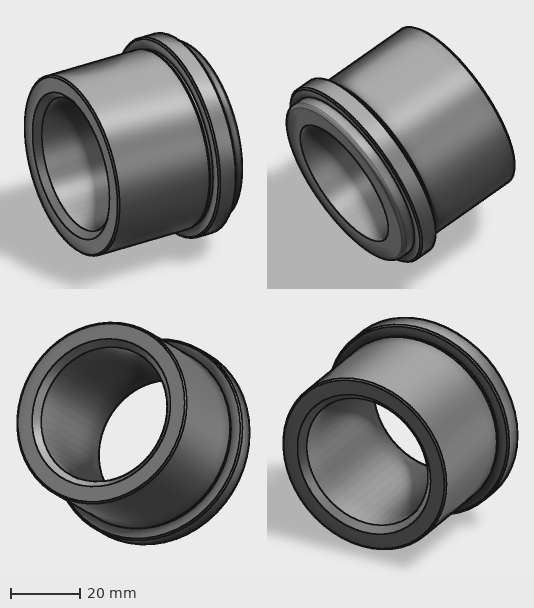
import cadquery as cq

total_length = 42.0
flange_diameter = 60.0
flange_width = 6.0
sleeve_diameter = 54.0
bore_diameter = 40.0
bore_mouth_diameter = 44.0
hub_length = 4.0
edge_chamfer = 0.5
hub_edge_radius = 1.0
groove_width = 1.5
groove_depth = 0.4
groove_taper = 0.6

flange_radius = flange_diameter / 2
sleeve_radius = sleeve_diameter / 2
bore_radius = bore_diameter / 2
bore_mouth_radius = bore_mouth_diameter / 2
mouth_depth = bore_mouth_radius - bore_radius
flange_back = total_length - hub_length
flange_front = flange_back - flange_width
groove_radius = sleeve_radius - groove_depth
groove_start = flange_front - groove_width


def ring_body():
    """Half section as (radius, Y), revolved about the Y axis."""
    section = (
        cq.Workplane("XY")
        .moveTo(bore_radius, mouth_depth)
        .lineTo(bore_mouth_radius, 0)
        .lineTo(sleeve_radius - edge_chamfer, 0)
        .lineTo(sleeve_radius, edge_chamfer)
        .lineTo(sleeve_radius, groove_start)
        .lineTo(groove_radius, groove_start + groove_taper)
        .lineTo(groove_radius, flange_front)
        .lineTo(flange_radius - edge_chamfer, flange_front)
        .lineTo(flange_radius, flange_front + edge_chamfer)
        .lineTo(flange_radius, flange_back - edge_chamfer)
        .lineTo(flange_radius - edge_chamfer, flange_back)
        .lineTo(sleeve_radius, flange_back)
        .lineTo(sleeve_radius, total_length - hub_edge_radius)
        .radiusArc((sleeve_radius - hub_edge_radius, total_length), -hub_edge_radius)
        .lineTo(bore_radius, total_length)
        .close()
    )
    return section.revolve(360, (0, 0, 0), (0, 1, 0))


result = ring_body()